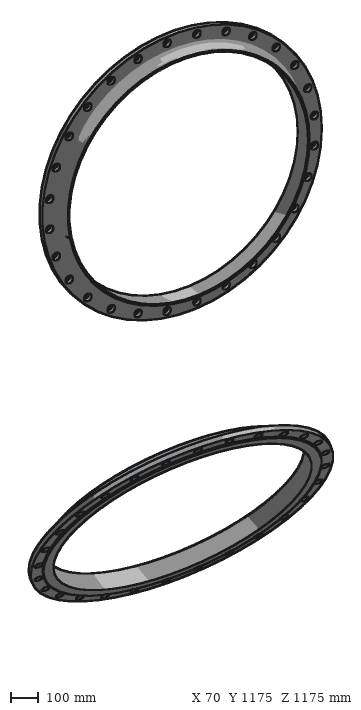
import cadquery as cq

flange_diameter = 1175.0
bore_diameter = 1002.0
neck_diameter = 1016.0
total_length = 70.0
flange_back = 26.0
neck_length = 16.0
hub_base_diameter = 1045.0
hub_fillet_radius = 16.0

raised_face_height = 5.0
raised_face_diameter = 1080.0
raised_face_base_diameter = 1085.0

bolt_count = 28
bolt_circle_diameter = 1120.0
bolt_hole_diameter = 30.0


def make_ring():
    """Revolve the flange section, drawn as (axial, radial) points, about X."""
    bore_radius = bore_diameter / 2
    flange_radius = flange_diameter / 2
    neck_radius = neck_diameter / 2
    neck_start = total_length - neck_length
    section = [
        (0, bore_radius),
        (0, raised_face_diameter / 2),
        (raised_face_height, raised_face_base_diameter / 2),
        (raised_face_height, flange_radius),
        (flange_back, flange_radius),
        (flange_back, hub_base_diameter / 2),
        (neck_start, neck_radius),
        (total_length, neck_radius),
        (total_length, bore_radius),
    ]
    ring = cq.Workplane("XY").polyline(section).close().revolve(360, (0, 0, 0), (1, 0, 0))
    ring = round_circle(ring, flange_back, hub_base_diameter, hub_fillet_radius)
    return round_circle(ring, neck_start, neck_diameter, hub_fillet_radius)


def round_circle(body, axial_position, diameter, fillet_radius):
    """Fillet the circular edge of the given diameter at one place along X."""
    margin = 1.0
    half_side = diameter / 2 + margin
    selector = cq.selectors.BoxSelector(
        (axial_position - margin, -half_side, -half_side),
        (axial_position + margin, half_side, half_side),
        boundingbox=True,
    )
    return body.edges(selector).fillet(fillet_radius)


def make_bolt_holes():
    """Make the cylinders that cut the bolt holes through the flange."""
    half_pitch_angle = 180 / bolt_count
    return (
        cq.Workplane("YZ")
        .polarArray(bolt_circle_diameter / 2, half_pitch_angle, 360, bolt_count)
        .circle(bolt_hole_diameter / 2)
        .extrude(total_length)
    )


result = make_ring().cut(make_bolt_holes())